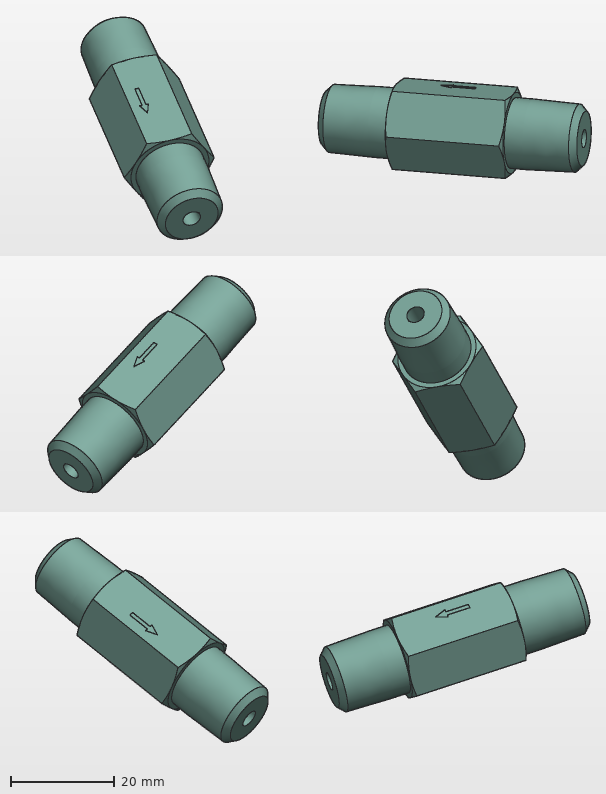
import cadquery as cq
import math

total_length = 52.05
hex_length = 23.7
across_flats = 15.9
across_corners = across_flats / math.cos(math.radians(30))

neck_diameter = 13.85
taper_length = 10.5
tip_diameter = 13.35
tip_chamfer = 1.3
bore_diameter = 3.55

corner_chamfer_angle = 22.0
end_face_diameter = across_flats

arrow_tail_x = -3.7
arrow_shaft_length = 4.7
arrow_head_length = 2.3
arrow_shaft_width = 0.8
arrow_head_width = 1.75
arrow_y = -1.9
engraving_depth = 0.1

half_length = total_length / 2
half_hex = hex_length / 2


def revolve_about_x(half_profile):
    """Revolve an (x, radius) profile about the X axis."""
    return cq.Workplane("XY").polyline(half_profile).close().revolve(360, (0, 0, 0), (1, 0, 0))


def hexagon_body():
    """Hexagon with flats facing +Z and -Z, corners turned off at both ends."""
    hexagon = (
        cq.Workplane("YZ")
        .polygon(6, across_corners)
        .extrude(half_hex, both=True)
    )
    corner_radius = across_corners / 2
    face_radius = end_face_diameter / 2
    chamfer_run = (corner_radius - face_radius) * math.tan(math.radians(corner_chamfer_angle))
    turning_envelope = revolve_about_x([
        (-half_hex, 0),
        (-half_hex, face_radius),
        (-half_hex + chamfer_run, corner_radius),
        (half_hex - chamfer_run, corner_radius),
        (half_hex, face_radius),
        (half_hex, 0),
    ])
    return hexagon.intersect(turning_envelope)


def tapered_ends():
    """One turned bar through the hexagon, tapering towards both chamfered tips."""
    neck_radius = neck_diameter / 2
    tip_radius = tip_diameter / 2
    chamfer_x = half_length - tip_chamfer
    taper_start_x = half_length - taper_length
    right_side = [
        (taper_start_x, neck_radius),
        (chamfer_x, tip_radius),
        (half_length, tip_radius - tip_chamfer),
        (half_length, 0),
    ]
    left_side = [(-x, radius) for x, radius in reversed(right_side)]
    return revolve_about_x(left_side + right_side)


def through_bore():
    return cq.Workplane("YZ").circle(bore_diameter / 2).extrude(half_length, both=True)


def flow_arrow():
    """Arrow-shaped cutter reaching down from the top flat by the engraving depth."""
    head_x = arrow_tail_x + arrow_shaft_length
    tip_x = head_x + arrow_head_length
    half_shaft = arrow_shaft_width / 2
    half_head = arrow_head_width / 2
    return (
        cq.Workplane("XY", origin=(0, arrow_y, across_flats / 2))
        .polyline([
            (arrow_tail_x, -half_shaft),
            (head_x, -half_shaft),
            (head_x, -half_head),
            (tip_x, 0),
            (head_x, half_head),
            (head_x, half_shaft),
            (arrow_tail_x, half_shaft),
        ])
        .close()
        .extrude(-engraving_depth)
    )


result = hexagon_body().union(tapered_ends()).cut(through_bore()).cut(flow_arrow())